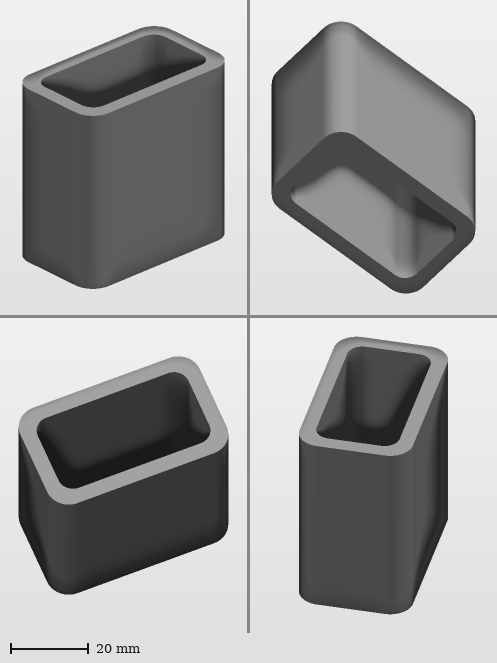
import cadquery as cq

width = 30.0
depth = 50.0
height = 50.0
wall = 4.0
outer_radius = 6.0
inner_radius = 4.0


def rounded_bar(size_x, size_y, corner_radius):
    """Solid bar of the full height with its four upright edges rounded."""
    bar = cq.Workplane("XY").rect(size_x, size_y).extrude(height)
    return bar.edges("|Z").fillet(corner_radius)


outer_body = rounded_bar(width, depth, outer_radius)
bore = rounded_bar(width - 2 * wall, depth - 2 * wall, inner_radius)

result = outer_body.cut(bore)